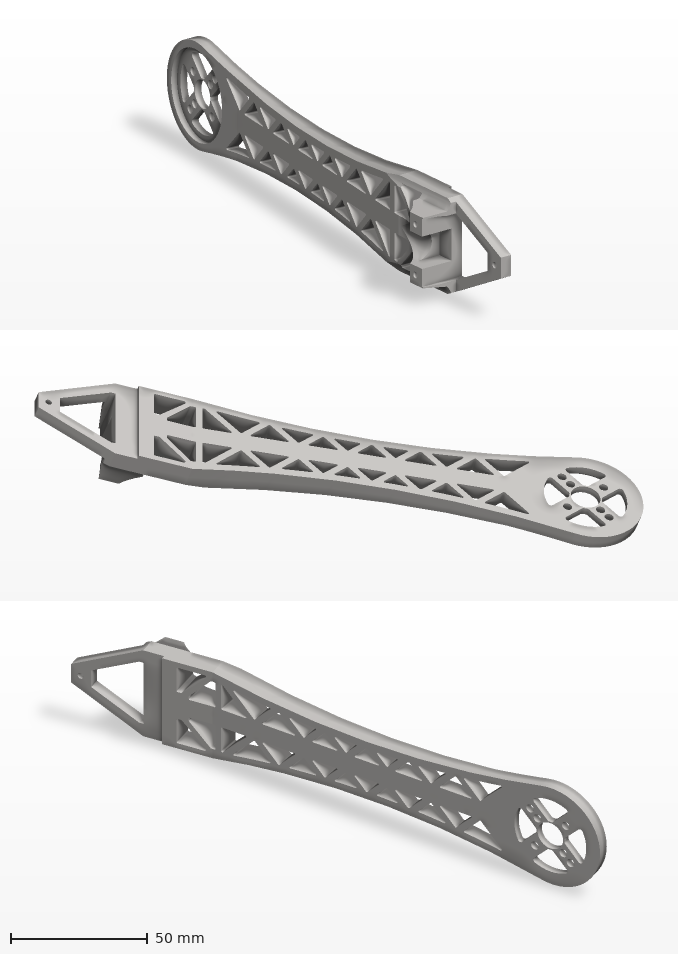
import cadquery as cq
import math


length = 226.5
depth = 37.8
reach = 113.3

head_diameter = 42.0
head_radius = head_diameter / 2
waist_x = 100.3
waist_half_width = 12.5
root_half_width = 18.8
root_end_x = 199.3
taper_start_x = 197
tip_half_width = 4.0

head_thickness = 5.5
head_end_x = 49.2
arm_end_x = 167.9
root_back_y = 20.0
back_step_x = 188.5
tab_back_y = 18.3
tab_front_y = 13.5
channel_floor_y = 10.0
foot_curve_start_x = 169.5
foot_curve_middle = (182.5, 6.5)
foot_front_x = 189.5
foot_tip_x = 197.3
tilt_slope = (depth - root_back_y) / arm_end_x
tilt = math.atan(tilt_slope)

root_edge_y = 11.5
foot_root_y = 9.5
foot_root_half_width = 14.7
foot_tip_half_width = 13.8
corner_curve_middle = (10.9, 16.5)

seat_diameter = 36.0
seat_depth = 2.5
seat_window_radius = 15.6
seat_window_corner = 1.1
hub_radius = 6.1
bore_diameter = 11.0
spoke_width = 7.2
motor_hole_diameter = 3.5
motor_hole_radii = {45: (8.0, 12.5), 135: (9.5,), 225: (8.0, 12.5), 315: (9.5,)}

spine_half_width = 3.9
rail_width = 3.0
window_top = 14.7
window_corner = 0.5
strut_width = 2.5
strut_middle_z = 7.2
first_window_middle = 48.5
strut_middles = (56.5, 68.2, 78.0, 87.7, 96.7, 105.3, 114.8, 123.7, 133.2, 145.5, 154.5)
last_window_end = 164.5

inner_bay = [(166.5, 3.9), (166.5, 14.7), (168.5, 14.7), (177.5, 5.5), (177.5, 3.9)]
outer_bay = [(170.5, 16.5), (182.5, 16.5), (182.5, 6.0), (180.5, 6.0), (170.5, 15.5)]

channel_half_width = 6.3
notch_floor_y = 13.5
screw_hole_diameter = 2.5
foot_hole_x = 192.8
foot_hole_z = 10.0
foot_hole_depth = 11.3
tip_hole_x = 222.7
root_face_x = 196.8
opening_half_width = 13.4
opening_corner_x = 198.7
opening_end_x = 218.4
opening_end_half_width = 3.6

waist_span = waist_x - head_radius
flank_radius = (waist_span**2 + waist_half_width**2 - head_radius**2) / (
    2 * (head_radius - waist_half_width)
)
flank_centre_z = waist_half_width + flank_radius

arm_plane = cq.Plane(
    origin=(0, depth - head_thickness, 0),
    xDir=(math.cos(tilt), -math.sin(tilt), 0),
    normal=(-math.sin(tilt), -math.cos(tilt), 0),
)
head_centre = head_radius / math.cos(tilt)


def on_arm(shape):
    """Move a shape drawn at the origin into the frame of the arm."""
    return cq.Workplane(shape.val().moved(cq.Location(arm_plane)))


def outline():
    touch = head_radius / (head_radius + flank_radius)
    touch_x = head_radius + touch * waist_span
    touch_z = touch * flank_centre_z
    half = (
        cq.Workplane("XZ")
        .moveTo(0, 0)
        .threePointArc(
            (head_radius * (1 - math.sqrt(0.5)), head_radius * math.sqrt(0.5)),
            (touch_x, touch_z),
        )
        .threePointArc((waist_x, waist_half_width), (arm_end_x, root_half_width))
        .lineTo(taper_start_x, root_half_width)
        .lineTo(length, tip_half_width)
        .lineTo(length, 0)
        .close()
        .extrude(reach, both=True)
    )
    return half.union(half.mirror("XY"))


def side_profile():
    head_front_y = depth - head_thickness
    return (
        cq.Workplane("XY")
        .moveTo(0, depth)
        .lineTo(arm_end_x, root_back_y)
        .lineTo(back_step_x, root_back_y)
        .lineTo(back_step_x, tab_back_y)
        .lineTo(length, tab_back_y)
        .lineTo(length, tab_front_y)
        .lineTo(root_end_x, tab_front_y)
        .lineTo(root_end_x, foot_root_y)
        .lineTo(foot_tip_x, 0)
        .lineTo(foot_front_x, 0)
        .threePointArc(foot_curve_middle, (foot_curve_start_x, channel_floor_y))
        .lineTo(head_end_x, head_front_y - head_end_x * tilt_slope)
        .lineTo(0, head_front_y)
        .close()
        .extrude(reach, both=True)
    )


def cross_section():
    half = (
        cq.Workplane("YZ")
        .moveTo(0, 0)
        .lineTo(0, foot_tip_half_width)
        .lineTo(foot_root_y, foot_root_half_width)
        .threePointArc(corner_curve_middle, (root_edge_y, root_half_width))
        .lineTo(root_edge_y, head_diameter)
        .lineTo(depth, head_diameter)
        .lineTo(depth, 0)
        .close()
        .extrude(length)
    )
    return half.union(half.mirror("XY"))


def seat_tool():
    """Recess, four windows, bore and motor screw holes, drawn about the head centre."""
    cutter_depth = 2 * head_thickness
    recess = (
        cq.Workplane("XY")
        .workplane(offset=-seat_depth)
        .circle(seat_diameter / 2)
        .extrude(cutter_depth)
    )
    spoke = (
        cq.Workplane("XY")
        .rect(head_diameter, spoke_width)
        .extrude(cutter_depth, both=True)
    )
    windows = (
        cq.Workplane("XY")
        .circle(seat_window_radius)
        .circle(hub_radius)
        .extrude(cutter_depth, both=True)
        .cut(spoke.rotate((0, 0, 0), (0, 0, 1), 45))
        .cut(spoke.rotate((0, 0, 0), (0, 0, 1), 135))
        .edges("|Z")
        .fillet(seat_window_corner)
    )
    holes = [
        (radius * math.cos(math.radians(angle)), radius * math.sin(math.radians(angle)))
        for angle, radii in motor_hole_radii.items()
        for radius in radii
    ]
    bores = (
        cq.Workplane("XY")
        .circle(bore_diameter / 2)
        .pushPoints(holes)
        .circle(motor_hole_diameter / 2)
        .extrude(cutter_depth, both=True)
    )
    tool = recess.union(windows).union(bores)
    return tool.translate((head_centre, 0, 0))


def truss_strut(middle, lean):
    """Diagonal strut at 45 degrees through the middle height of the windows."""
    return (
        cq.Workplane("XY")
        .rect(reach, strut_width)
        .extrude(depth, both=True)
        .rotate((0, 0, 0), (0, 0, 1), lean)
        .translate((middle, strut_middle_z, 0))
    )


def truss_tool():
    """All truss windows on both sides of the spine."""
    start_low = first_window_middle + strut_middle_z - spine_half_width
    start_high = first_window_middle + strut_middle_z - window_top
    rail = (
        cq.Workplane("XY")
        .center(waist_x, flank_centre_z)
        .circle(flank_radius + rail_width)
        .extrude(depth, both=True)
    )
    windows = (
        cq.Workplane("XY")
        .moveTo(start_low, spine_half_width)
        .lineTo(start_high, window_top)
        .lineTo(last_window_end, window_top)
        .lineTo(last_window_end, spine_half_width)
        .close()
        .extrude(depth, both=True)
        .cut(rail)
    )
    for index, middle in enumerate(strut_middles):
        lean = 45 if index % 2 == 0 else -45
        windows = windows.cut(truss_strut(middle, lean))
    windows = windows.edges("|Z").fillet(window_corner)
    return windows.union(windows.mirror("XZ"))


def bay_tool():
    """The two open bays on each side of the root, split by a diagonal strut."""
    bays = cq.Workplane("XZ")
    for bay in (inner_bay, outer_bay):
        bays = bays.polyline(bay).close()
    bays = bays.extrude(-depth).edges("|Y").fillet(window_corner)
    return bays.union(bays.mirror("XY"))


def channel_tool():
    """Round-bottomed channel between the feet, deepened to a square notch at the root face."""
    axis_y = channel_floor_y - channel_half_width
    round_floor = (
        cq.Workplane("YZ", origin=(foot_curve_start_x, 0, 0))
        .center(axis_y, 0)
        .circle(channel_half_width)
        .extrude(length)
    )
    mouth = cq.Workplane("XY", origin=(foot_curve_start_x, 0, 0)).box(
        length, axis_y, 2 * channel_half_width, centered=(False, False, True)
    )
    notch = cq.Workplane("XY", origin=(foot_front_x, 0, 0)).box(
        length, notch_floor_y, 2 * channel_half_width, centered=(False, False, True)
    )
    return round_floor.union(mouth).union(notch)


def tab_opening():
    """Tapered opening between the flat root face and the tip."""
    return (
        cq.Workplane("XZ")
        .polyline(
            [
                (root_face_x, opening_half_width),
                (opening_corner_x, opening_half_width),
                (opening_end_x, opening_end_half_width),
                (opening_end_x, -opening_end_half_width),
                (opening_corner_x, -opening_half_width),
                (root_face_x, -opening_half_width),
            ]
        )
        .close()
        .extrude(reach, both=True)
    )


def screw_holes():
    """Blind holes in the feet and a through hole in the tip."""
    feet = (
        cq.Workplane("XZ")
        .pushPoints([(foot_hole_x, foot_hole_z), (foot_hole_x, -foot_hole_z)])
        .circle(screw_hole_diameter / 2)
        .extrude(-foot_hole_depth)
    )
    tip = (
        cq.Workplane("XZ")
        .center(tip_hole_x, 0)
        .circle(screw_hole_diameter / 2)
        .extrude(-depth)
    )
    return feet.union(tip)


result = (
    outline()
    .intersect(side_profile())
    .intersect(cross_section())
    .cut(on_arm(seat_tool()))
    .cut(on_arm(truss_tool()))
    .cut(bay_tool())
    .cut(channel_tool())
    .cut(tab_opening())
    .cut(screw_holes())
)